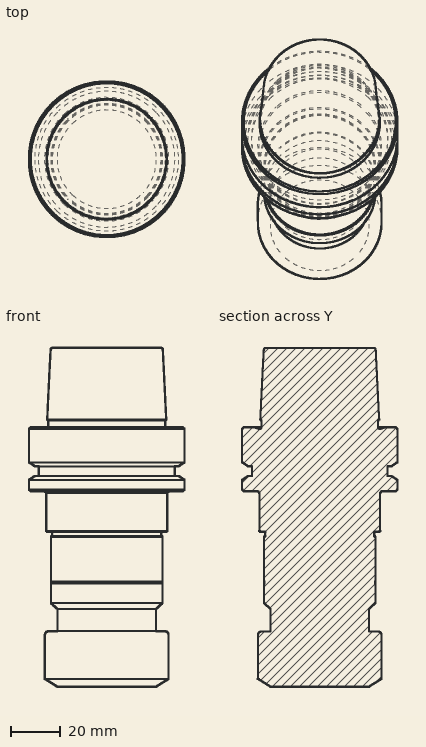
import cadquery as cq

total_height = 136.9
flange_top = 104.9
flange_bottom = 78.9

nut_radius = 25.0
nut_height = 22.5
nut_round = 1.6
nose_radius = 20.0
nose_height = 3.1

neck_radius = 20.0
neck_top = 31.4
shank_radius = 22.6
shank_cone_top = 33.8
mark_height = 42.0
mark_half_width = 0.4
mark_depth = 0.3
shank_top = 60.8
shank_chamfer = 0.3
ring_radius = 21.9
ring_bulge = 0.3
collar_radius = 24.5
collar_bottom = 62.5
collar_chamfer = 0.4

flange_radius = 31.5
flange_chamfer = 0.8
groove_radius = 27.5
groove_lip_radius = 29.0
groove_bottom = 85.2
groove_top = 89.0
groove_lip_height = 1.6
dish_radius = 26.5
dish_depth = 0.7
collar_flare = 0.5
dish_inner_round = 0.7

taper_neck_radius = 23.7
taper_base_radius = 24.1
taper_base = 107.9
taper_step = 0.4
taper_top_radius = 22.7
taper_round = 1.0


def nut(profile):
    """Nut with a conical nose and a rounded upper edge."""
    return (
        profile.lineTo(nose_radius, 0)
        .lineTo(nut_radius, nose_height)
        .lineTo(nut_radius, nut_height - nut_round)
        .radiusArc((nut_radius - nut_round, nut_height), -nut_round)
    )


def shank(profile):
    """Neck, marked shank, bulged ring and collar."""
    return (
        profile.lineTo(neck_radius, nut_height)
        .lineTo(neck_radius, neck_top)
        .lineTo(shank_radius, shank_cone_top)
        .lineTo(shank_radius, mark_height - mark_half_width)
        .lineTo(shank_radius - mark_depth, mark_height)
        .lineTo(shank_radius, mark_height + mark_half_width)
        .lineTo(shank_radius, shank_top - shank_chamfer)
        .lineTo(shank_radius - shank_chamfer, shank_top)
        .lineTo(ring_radius, shank_top)
        .threePointArc(
            (ring_radius + ring_bulge, (shank_top + collar_bottom) / 2),
            (ring_radius, collar_bottom),
        )
        .lineTo(collar_radius - collar_chamfer, collar_bottom)
        .lineTo(collar_radius, collar_bottom + collar_chamfer)
    )


def flange(profile):
    """Grooved flange, from its underside to the dished upper face."""
    dish_floor = flange_top - dish_depth
    rim_inner = flange_radius - flange_chamfer
    return (
        profile.lineTo(collar_radius, flange_bottom - collar_flare)
        .lineTo(collar_radius + collar_flare, flange_bottom)
        .lineTo(rim_inner, flange_bottom)
        .lineTo(flange_radius, flange_bottom + flange_chamfer)
        .lineTo(flange_radius, groove_bottom - groove_lip_height)
        .lineTo(groove_lip_radius, groove_bottom)
        .lineTo(groove_radius, groove_bottom)
        .lineTo(groove_radius, groove_top)
        .lineTo(groove_lip_radius, groove_top)
        .lineTo(flange_radius, groove_top + groove_lip_height)
        .lineTo(flange_radius, flange_top - flange_chamfer)
        .lineTo(rim_inner, flange_top)
        .lineTo(dish_radius, flange_top)
        .lineTo(taper_neck_radius + dish_inner_round, dish_floor)
        .radiusArc((taper_neck_radius, dish_floor + dish_inner_round), dish_inner_round)
    )


def taper(profile):
    """Short neck and tapered plug with a rounded end."""
    return (
        profile.lineTo(taper_neck_radius, taper_base - taper_step)
        .lineTo(taper_base_radius, taper_base)
        .lineTo(taper_top_radius, total_height - taper_round)
        .radiusArc((taper_top_radius - taper_round, total_height), -taper_round)
        .lineTo(0, total_height)
    )


half_profile = taper(flange(shank(nut(cq.Workplane("XZ")))))
result = half_profile.close().revolve(360, (0, 0, 0), (0, 1, 0))